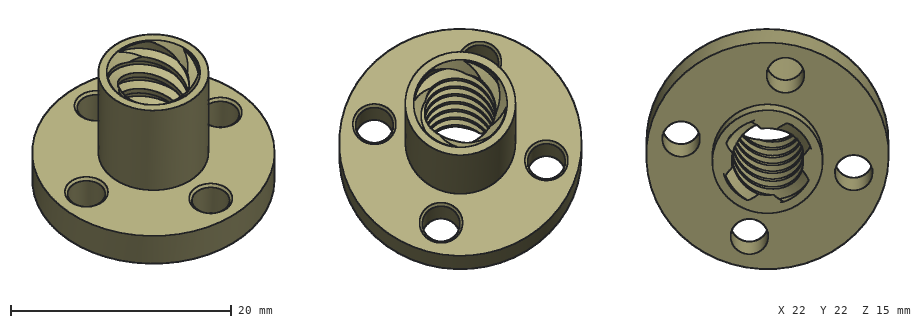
import cadquery as cq
import math

flange_diameter = 22
flange_thickness = 3.5
barrel_diameter = 10.0
barrel_below = 1.5
total_height = 15.0
barrel_above = total_height - barrel_below - flange_thickness

hole_count = 4
hole_diameter = 3.4
hole_rim_diameter = 3.92
rim_cone_angle = 90
hole_circle_diameter = 16.0

bore_diameter = 6.5
thread_root_diameter = 8.32
entry_diameter = 8.5
thread_starts = 4
thread_pitch = 2.0
thread_lead = thread_starts * thread_pitch
flank_angle = 15
groove_root_width = 0.97
top_groove_angle = -10

cut_overrun = 0.22

bottom_z = -barrel_below
top_z = flange_thickness + barrel_above


def flange():
    """Disc with mounting holes through it, chamfered at their upper rims."""
    disc = cq.Workplane("XY").circle(flange_diameter / 2).extrude(flange_thickness)
    return (
        disc.faces(">Z")
        .workplane()
        .polarArray(hole_circle_diameter / 2, 0, 360, hole_count)
        .cskHole(hole_diameter, hole_rim_diameter, rim_cone_angle)
    )


def barrel():
    """Plain cylinder that passes through the flange."""
    base = cq.Workplane("XY").workplane(offset=bottom_z)
    return base.circle(barrel_diameter / 2).extrude(total_height)


def bore():
    """Straight bore through the nut, at the thread crest."""
    base = cq.Workplane("XY").workplane(offset=bottom_z - cut_overrun)
    return base.circle(bore_diameter / 2).extrude(total_height + 2 * cut_overrun)


def entry_cone():
    """45 degree cone that opens the top of the bore, run past both of its ends."""
    bore_radius = bore_diameter / 2
    entry_radius = entry_diameter / 2
    entry_depth = entry_radius - bore_radius
    cone = cq.Solid.makeCone(
        bore_radius - cut_overrun,
        entry_radius + cut_overrun,
        entry_depth + 2 * cut_overrun,
        cq.Vector(0, 0, top_z - entry_depth - cut_overrun),
    )
    return cq.Workplane(cone)


def thread_groove():
    """One helical groove, run one pitch past both ends of the nut."""
    root_radius = thread_root_diameter / 2
    mouth_radius = bore_diameter / 2 - cut_overrun
    root_half = groove_root_width / 2
    mouth_half = root_half + (root_radius - mouth_radius) * math.tan(math.radians(flank_angle))
    helix_height = total_height + 2 * thread_pitch
    helix = cq.Wire.makeHelix(thread_lead, helix_height, bore_diameter / 2)
    groove = (
        cq.Workplane("XZ")
        .polyline(
            [
                (mouth_radius, -mouth_half),
                (root_radius, -root_half),
                (root_radius, root_half),
                (mouth_radius, mouth_half),
            ]
        )
        .close()
        .sweep(cq.Workplane(helix), isFrenet=True)
    )
    turn_to_top = 360 * (total_height + thread_pitch) / thread_lead
    return groove.rotate((0, 0, 0), (0, 0, 1), top_groove_angle - turn_to_top).translate(
        (0, 0, bottom_z - thread_pitch)
    )


result = flange().union(barrel())
groove = thread_groove()
for start in range(thread_starts):
    result = result.cut(groove.rotate((0, 0, 0), (0, 0, 1), start * 360 / thread_starts))
result = result.cut(bore()).cut(entry_cone())